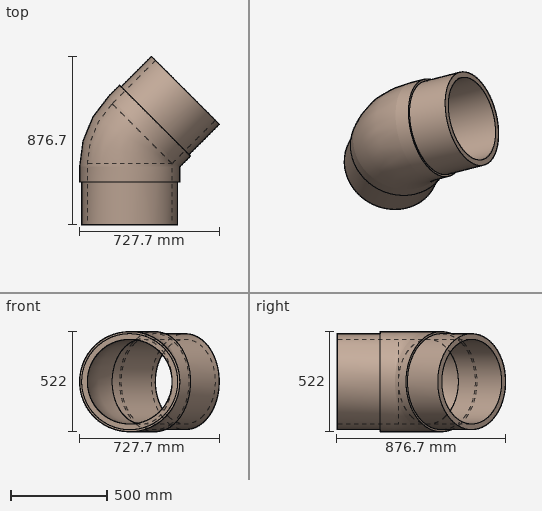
import cadquery as cq
import math

bend_angle = 45.0
leg_length = 410.0
spigot_length = 222.9
body_diameter = 522.0
spigot_diameter = 500.0
bend_bore_diameter = 440.4
end_bore_diameter = 440.6

bend_axis_clearance = 0.1
body_bend_radius = body_diameter / 2 + bend_axis_clearance
bore_bend_radius = bend_bore_diameter / 2 + bend_axis_clearance
collar_end_distance = leg_length - spigot_length

angle = math.radians(bend_angle)
inlet_direction = cq.Vector(0, -1, 0)
outlet_direction = cq.Vector(math.sin(angle), math.cos(angle), 0)


def tangent_distance(bend_radius):
    """Distance from the centreline intersection to each end of the bend."""
    return bend_radius * math.tan(angle / 2)


def curved_rod(diameter, bend_radius):
    """Solid round bend, tangent to both centrelines and curving towards +X."""
    bend_start = inlet_direction * tangent_distance(bend_radius)
    return (
        cq.Workplane("XZ", origin=bend_start)
        .circle(diameter / 2)
        .revolve(bend_angle, (bend_radius, 0, 0), (bend_radius, -1, 0))
    )


def straight_rod(direction, diameter, start, end):
    """Solid cylinder on one centreline between two distances from the origin."""
    plane = cq.Plane(origin=direction * start, xDir=(0, 0, 1), normal=direction)
    return cq.Workplane(plane).circle(diameter / 2).extrude(end - start)


def elbow_outside():
    """Solid bend with its two collars and spigots."""
    outside = curved_rod(body_diameter, body_bend_radius)
    bend_end = tangent_distance(body_bend_radius)
    for direction in (inlet_direction, outlet_direction):
        collar = straight_rod(direction, body_diameter, bend_end, collar_end_distance)
        spigot = straight_rod(direction, spigot_diameter, collar_end_distance, leg_length)
        outside = outside.union(collar).union(spigot)
    return outside


def elbow_bore():
    """Open passage: a curved middle and a straight run to each end face."""
    bore = curved_rod(bend_bore_diameter, bore_bend_radius)
    bend_end = tangent_distance(bore_bend_radius)
    for direction in (inlet_direction, outlet_direction):
        bore = bore.union(straight_rod(direction, end_bore_diameter, bend_end, leg_length))
    return bore


result = elbow_outside().cut(elbow_bore())